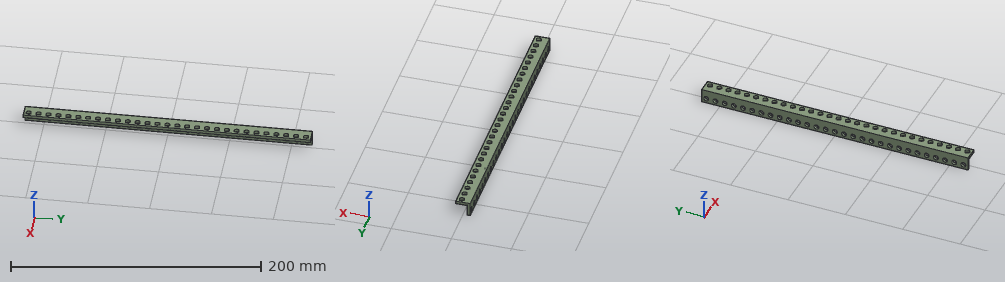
import cadquery as cq

pitch = 8.0
hole_count = 29
length = pitch * hole_count
leg = 12.0
thickness = 2.5
hole_diameter = 4.0
hole_from_corner = 8.0


def angle_bar():
    """L-section bar centred along Y, with its outer corner edge at X = 0, Z = 0."""
    outline = [
        (0, 0),
        (leg, 0),
        (leg, -thickness),
        (thickness, -thickness),
        (thickness, -leg),
        (0, -leg),
    ]
    return cq.Workplane("XZ").polyline(outline).close().extrude(length / 2, both=True)


def drill_row(body, plane, row_position):
    """Drill one row of through holes, in a plane whose second axis is Y."""
    first = -(hole_count - 1) * pitch / 2
    centres = [(row_position, first + i * pitch) for i in range(hole_count)]
    drills = cq.Workplane(plane).pushPoints(centres).circle(hole_diameter / 2).extrude(leg, both=True)
    return body.cut(drills)


side_face = cq.Plane(origin=(0, 0, 0), xDir=(0, 0, 1), normal=(-1, 0, 0))

result = angle_bar()
result = drill_row(result, "XY", hole_from_corner)
result = drill_row(result, side_face, -hole_from_corner)